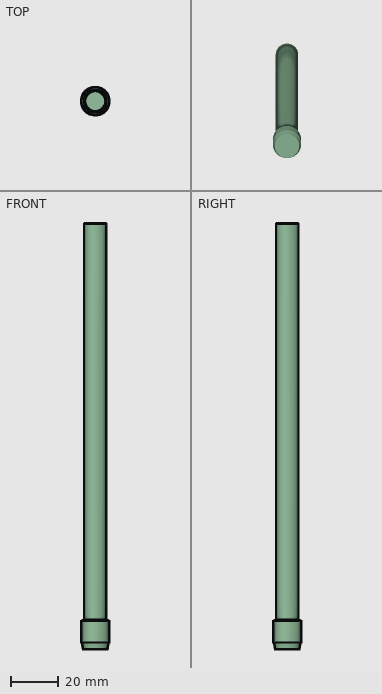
import cadquery as cq

total_length = 180.0
rod_diameter = 9.5
rod_end_chamfer = 0.5
collar_diameter = 12.0
collar_height = 12.6
collar_shoulder_rise = 0.6
nose_height = 3.0
nose_top_diameter = 11.5
nose_end_diameter = 10.3

rod_radius = rod_diameter / 2
collar_radius = collar_diameter / 2
nose_top_radius = nose_top_diameter / 2
nose_end_radius = nose_end_diameter / 2
shoulder_base_height = collar_height - collar_shoulder_rise


def make_rod():
    """Straight round rod running the full length, with a small chamfer around its top end."""
    rod_blank = cq.Workplane("XY").circle(rod_radius).extrude(total_length)
    return rod_blank.faces(">Z").chamfer(rod_end_chamfer)


def make_collar():
    """Sleeve around the rod: a stepped, tapered nose below, a cylinder, and a sloping shoulder above."""
    half_profile = (
        cq.Workplane("XZ")
        .moveTo(rod_radius, 0)
        .lineTo(nose_end_radius, 0)
        .lineTo(nose_top_radius, nose_height)
        .lineTo(collar_radius, nose_height)
        .lineTo(collar_radius, shoulder_base_height)
        .lineTo(rod_radius, collar_height)
        .close()
    )
    return half_profile.revolve(360, (0, 0, 0), (0, 1, 0))


rod = make_rod()
collar = make_collar()
result = cq.Compound.makeCompound([rod.val(), collar.val()])